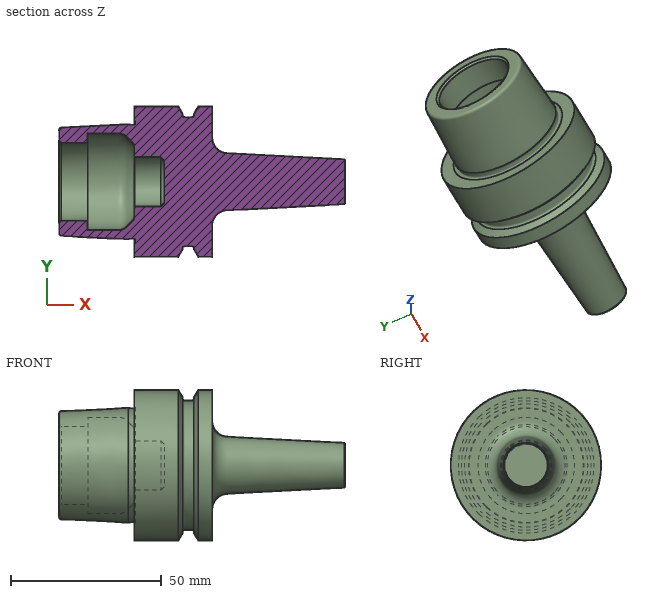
import cadquery as cq
import math


shank_length = 24.9
projection = 70.0

gauge_radius = 19.0
gauge_distance = 5.0
taper_slope = 1 / 20
nose_radius = 1.0
taper_end_x = -1.9

neck_radius = 18.95
neck_start_x = -1.18
neck_blend_radius = 1.0
undercut_outer_radius = 20.45
undercut_fillet = 0.55
undercut_tilt = math.radians(25)

flange_radius = 25.0
flange_width = 26.0
groove_center_x = 18.0
groove_half_width = 3.3
groove_floor_radius = 21.5
groove_wall_angle = math.radians(60)
groove_channel_half_width = 1.85
groove_fillet = 0.7

stem_tip_radius = 7.5
stem_half_angle = math.radians(3)
stem_root_fillet = 5.0
stem_tip_chamfer = 0.3

bore_radius = 12.9
bore_chamfer = 0.7
bore_length = 9.5
recess_radius = 16.0
recess_wall_fillet = 4.0
recess_cone_angle = math.radians(45)
recess_floor_x = 0.0
recess_floor_fillet = 1.5
recess_floor_radius = 11.8

pilot_radius = 8.2
pilot_chamfer = 0.3
pilot_depth = 10.0
pilot_end_radius = 7.0


def taper_radius(x):
    return gauge_radius + taper_slope * (x + gauge_distance)


def stem_radius(x):
    return stem_tip_radius + (projection - x) * math.tan(stem_half_angle)


def revolve_about_x(outline):
    return outline.close().revolve(360, (0, 0, 0), (1, 0, 0))


def add_shank(outline):
    """Taper, short cone and the small blend that leads onto the cylindrical neck."""
    cone_drop = taper_radius(taper_end_x) - neck_radius
    cone_angle = math.atan2(cone_drop, neck_start_x - taper_end_x)
    tangent_length = neck_blend_radius * math.tan(cone_angle / 2)
    blend_start = (
        neck_start_x - tangent_length * math.cos(cone_angle),
        neck_radius + tangent_length * math.sin(cone_angle),
    )
    return (
        outline.lineTo(-shank_length, taper_radius(-shank_length))
        .lineTo(taper_end_x, taper_radius(taper_end_x))
        .lineTo(*blend_start)
        .radiusArc((neck_start_x + tangent_length, neck_radius), -neck_blend_radius)
    )


def add_undercut(outline):
    """Fillet from the neck into the contact face, then a cone back out to the face."""
    fillet_center_radius = neck_radius + undercut_fillet
    cone_inner_radius = fillet_center_radius + undercut_fillet * math.sin(undercut_tilt)
    cone_depth = (undercut_outer_radius - cone_inner_radius) * math.tan(undercut_tilt)
    fillet_center_x = cone_depth - undercut_fillet * math.cos(undercut_tilt)
    middle_angle = (undercut_tilt - math.pi / 2) / 2
    fillet_middle = (
        fillet_center_x + undercut_fillet * math.cos(middle_angle),
        fillet_center_radius + undercut_fillet * math.sin(middle_angle),
    )
    return (
        outline.lineTo(fillet_center_x, neck_radius)
        .threePointArc(fillet_middle, (cone_depth, cone_inner_radius))
        .lineTo(0, undercut_outer_radius)
    )


def add_flange(outline):
    """Flange rim with a gripper groove: sloped walls above a straight, filleted channel."""
    wall_run = groove_half_width - groove_channel_half_width
    channel_top_radius = flange_radius - wall_run * math.tan(groove_wall_angle)
    fillet_top_radius = groove_floor_radius + groove_fillet
    floor_half_width = groove_channel_half_width - groove_fillet
    channel_left_x = groove_center_x - groove_channel_half_width
    channel_right_x = groove_center_x + groove_channel_half_width
    return (
        outline.lineTo(0, flange_radius)
        .lineTo(groove_center_x - groove_half_width, flange_radius)
        .lineTo(channel_left_x, channel_top_radius)
        .lineTo(channel_left_x, fillet_top_radius)
        .radiusArc((groove_center_x - floor_half_width, groove_floor_radius), -groove_fillet)
        .lineTo(groove_center_x + floor_half_width, groove_floor_radius)
        .radiusArc((channel_right_x, fillet_top_radius), -groove_fillet)
        .lineTo(channel_right_x, channel_top_radius)
        .lineTo(groove_center_x + groove_half_width, flange_radius)
        .lineTo(flange_width, flange_radius)
    )


def add_stem(outline):
    """Root fillet tangent to flange and stem, then the tapered stem with a chamfered tip."""
    fillet_center_x = flange_width + stem_root_fillet
    fillet_center_radius = stem_radius(fillet_center_x) + stem_root_fillet / math.cos(stem_half_angle)
    fillet_end_x = fillet_center_x - stem_root_fillet * math.sin(stem_half_angle)
    chamfer_x = projection - stem_tip_chamfer
    return (
        outline.lineTo(flange_width, fillet_center_radius)
        .radiusArc((fillet_end_x, stem_radius(fillet_end_x)), -stem_root_fillet)
        .lineTo(chamfer_x, stem_radius(chamfer_x))
        .lineTo(projection, stem_tip_radius - stem_tip_chamfer)
        .lineTo(projection, 0)
    )


def make_body():
    """Solid exterior of the holder with a rounded shank nose."""
    outline = cq.Workplane("XY").moveTo(-shank_length, 0)
    for add_section in (add_shank, add_undercut, add_flange, add_stem):
        outline = add_section(outline)
    return revolve_about_x(outline).faces("<X").edges().fillet(nose_radius)


def make_bore():
    """Chamfered bore that opens into a wider recess, which narrows to a rounded floor."""
    mouth_x = -shank_length
    lip_x = mouth_x + bore_length
    cone_sin = math.sin(recess_cone_angle)
    cone_cos = math.cos(recess_cone_angle)
    cone_start_radius = recess_radius - recess_wall_fillet * (1 - cone_cos)
    cone_end_radius = recess_floor_radius + recess_floor_fillet * cone_cos
    cone_end_x = recess_floor_x - recess_floor_fillet * (1 - cone_sin)
    cone_start_x = cone_end_x - (cone_start_radius - cone_end_radius) / math.tan(recess_cone_angle)
    wall_end_x = cone_start_x - recess_wall_fillet * cone_sin
    return revolve_about_x(
        cq.Workplane("XY")
        .moveTo(mouth_x, 0)
        .lineTo(mouth_x, bore_radius + bore_chamfer)
        .lineTo(mouth_x + bore_chamfer, bore_radius)
        .lineTo(lip_x, bore_radius)
        .lineTo(lip_x, recess_radius)
        .lineTo(wall_end_x, recess_radius)
        .radiusArc((cone_start_x, cone_start_radius), recess_wall_fillet)
        .lineTo(cone_end_x, cone_end_radius)
        .radiusArc((recess_floor_x, recess_floor_radius), recess_floor_fillet)
        .lineTo(recess_floor_x, 0)
    )


def make_pilot_hole():
    """Blind hole with a chamfered mouth and a chamfered bottom edge."""
    end_x = recess_floor_x + pilot_depth
    end_chamfer = pilot_radius - pilot_end_radius
    return revolve_about_x(
        cq.Workplane("XY")
        .moveTo(recess_floor_x, 0)
        .lineTo(recess_floor_x, pilot_radius + pilot_chamfer)
        .lineTo(recess_floor_x + pilot_chamfer, pilot_radius)
        .lineTo(end_x - end_chamfer, pilot_radius)
        .lineTo(end_x, pilot_end_radius)
        .lineTo(end_x, 0)
    )


result = make_body().cut(make_bore()).cut(make_pilot_hole())